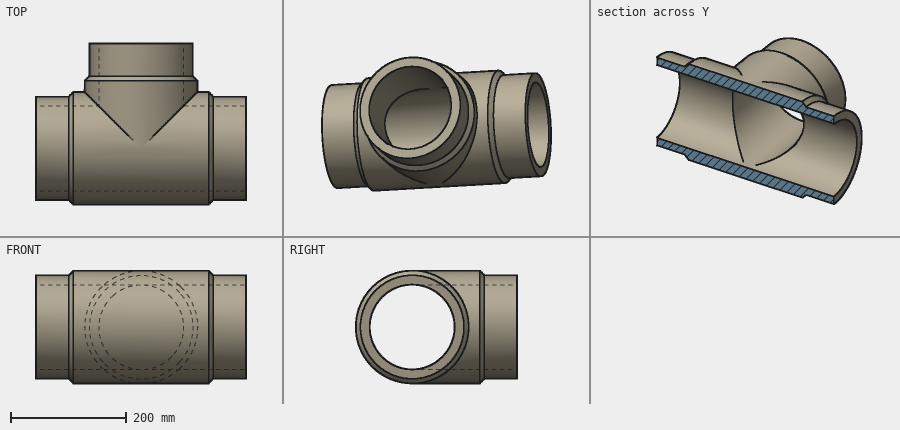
import cadquery as cq

run_length = 365.0
pipe_diameter = 180.0
wall_thickness = 16.4
body_thickening = 8.2
spigot_length = 57.0

end_distance = run_length / 2
pipe_radius = pipe_diameter / 2
bore_radius = pipe_radius - wall_thickness
body_radius = pipe_radius + body_thickening
shoulder_distance = end_distance - spigot_length
body_distance = shoulder_distance - body_thickening


def make_branch():
    """Solid branch from the tee centre along +Y: thick body, bevel and spigot."""
    return (
        cq.Workplane("XY")
        .lineTo(body_radius, 0)
        .lineTo(body_radius, body_distance)
        .lineTo(pipe_radius, shoulder_distance)
        .lineTo(pipe_radius, end_distance)
        .lineTo(0, end_distance)
        .close()
        .revolve(360, (0, 0, 0), (0, 1, 0))
    )


def make_run():
    """Solid straight run along X, beveled and with a spigot at both ends."""
    return (
        cq.Workplane("XY")
        .moveTo(-end_distance, 0)
        .lineTo(-end_distance, pipe_radius)
        .lineTo(-shoulder_distance, pipe_radius)
        .lineTo(-body_distance, body_radius)
        .lineTo(body_distance, body_radius)
        .lineTo(shoulder_distance, pipe_radius)
        .lineTo(end_distance, pipe_radius)
        .lineTo(end_distance, 0)
        .close()
        .revolve(360, (0, 0, 0), (1, 0, 0))
    )


def make_bores():
    """Through bore of the run joined by the bore of the branch."""
    run_bore = cq.Workplane("YZ").circle(bore_radius).extrude(end_distance, both=True)
    branch_bore = cq.Workplane("XZ").circle(bore_radius).extrude(-end_distance)
    return run_bore.union(branch_bore)


result = make_run().union(make_branch()).cut(make_bores())